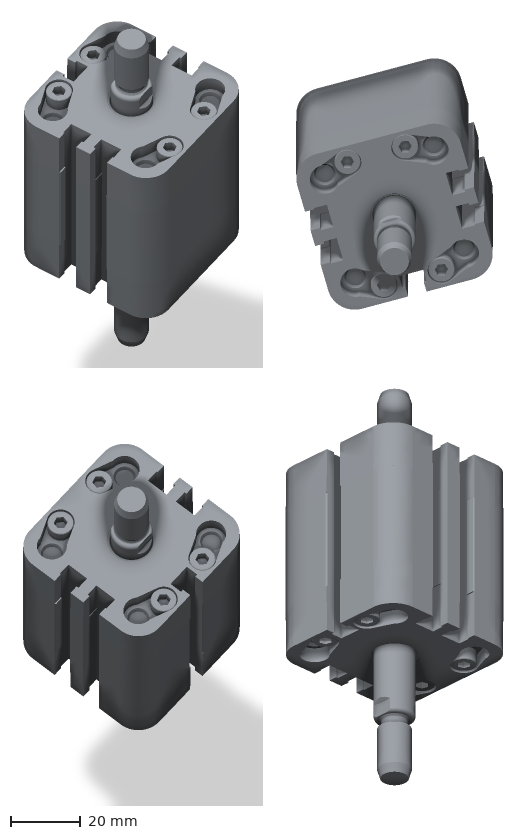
import cadquery as cq
import math


TOTAL_LENGTH = 125.0
BODY_BOTTOM = 40.5
BODY_LENGTH = 59.0
CAP_LENGTH = 14.2
BODY_TOP = BODY_BOTTOM + BODY_LENGTH
BARREL_BOTTOM = BODY_BOTTOM + CAP_LENGTH
BARREL_TOP = BODY_TOP - CAP_LENGTH

BODY_WIDTH = 49.0
CORNER_RADIUS = 8.0
CAP_INSET = 0.1
CAP_DRAFT = math.degrees(math.atan(CAP_INSET / CAP_LENGTH))

HALF_WIDTH = BODY_WIDTH / 2
SLOT_FLOOR = 17.8
LIP_INNER = 21.6
SINGLE_OPENING = 5.5
SINGLE_WIDTH = 7.2
RIB_HEAD_HALF = 4.9 / 2
CAP_RIB_STEM_HALF = 1.8
BARREL_RIB_STEM_HALF = 2.0
PAIR_OUTER = 8.8
CAP_PAIR_OPENING = 8.4
BARREL_PAIR_OPENING = 8.0
LIP_CHAMFER = 0.4

ROD_BORE = 12.5
MOUTH_OUTER = 14.0
MOUTH_INNER = 13.8
MOUTH_DEPTH = 0.1
BORE_CHAMFER = 0.2
SEAT_POCKET_DIAMETER = 8.6
SCREW_POCKET_DIAMETER = 8.0
POCKET_WEB = 8.0
POCKET_DEPTH = 4.5
MOUNT_OFFSET = 16.2
SEAT_OUTER = 6.4
SEAT_INNER = 5.2
SEAT_DEPTH = 1.0
SCREW_X = 19.4
SCREW_Y = 8.6
HEAD_DIAMETER = 7.5
HEAD_RIM = 0.19
HEAD_HEIGHT = 4.0
SOCKET_CORNERS = 4.0
SOCKET_DEPTH = 3.1
SOCKET_TURN = 45.0

ROD_DIAMETER = 12.0
THREAD_DIAMETER = 10.0
TIP_DIAMETER = 8.2
TIP_LENGTH = 2.8
THREAD_LENGTH = 16.0
NECK_DIAMETER = 7.9
NECK_TAPER = 0.6
NECK_FLARE = 0.5
SHOULDER = 19.0
SHOULDER_RADIUS = 1.0
FLAT_WIDTH = 10.0
FLAT_END = 23.1
FLAT_RUNOUT = (ROD_DIAMETER - FLAT_WIDTH) / 2


def block(x_min, x_max, y_min, y_max):
    """A box over the whole body height, to cut slots with."""
    return (
        cq.Workplane("XY")
        .box(x_max - x_min, y_max - y_min, BODY_LENGTH, centered=False)
        .translate((x_min, y_min, BODY_BOTTOM))
    )


def lip_bevel(corner_x, corner_y):
    """A diamond prism that bevels a lip corner lying on the outer profile."""
    side = LIP_CHAMFER * math.sqrt(2)
    return (
        cq.Workplane("XY", origin=(corner_x, corner_y, BODY_BOTTOM))
        .transformed(rotate=(0, 0, 45))
        .rect(side, side)
        .extrude(BODY_LENGTH)
    )


def cut_slots(body, pair_opening, stem_half):
    """Cut the single slot on -X and the paired slots on +Y and -Y."""
    body = body.cut(block(-HALF_WIDTH, -SLOT_FLOOR, -SINGLE_OPENING / 2, SINGLE_OPENING / 2))
    body = body.cut(block(-LIP_INNER, -SLOT_FLOOR, -SINGLE_WIDTH / 2, SINGLE_WIDTH / 2))

    mouth = block(RIB_HEAD_HALF, pair_opening, SLOT_FLOOR, HALF_WIDTH)
    slot = mouth.union(block(stem_half, PAIR_OUTER, SLOT_FLOOR, LIP_INNER))
    slots = slot.union(slot.mirror("YZ"))
    return body.cut(slots).cut(slots.mirror("XZ"))


def make_barrel():
    barrel = (
        cq.Workplane("XY", origin=(0, 0, BARREL_BOTTOM))
        .rect(BODY_WIDTH, BODY_WIDTH)
        .extrude(BARREL_TOP - BARREL_BOTTOM)
        .edges("|Z")
        .fillet(CORNER_RADIUS)
    )
    barrel = cut_slots(barrel, BARREL_PAIR_OPENING, BARREL_RIB_STEM_HALF)
    for side in (-1, 1):
        barrel = barrel.cut(lip_bevel(-HALF_WIDTH, side * SINGLE_OPENING / 2))
        for end in (-1, 1):
            barrel = barrel.cut(lip_bevel(side * BARREL_PAIR_OPENING, end * HALF_WIDTH))
    rod_hole = cq.Workplane("XY").circle(ROD_DIAMETER / 2).extrude(TOTAL_LENGTH)
    return barrel.cut(rod_hole)


def cone(center_x, center_y, top_z, top_diameter, bottom_diameter, depth):
    """A countersink that narrows downward from top_z."""
    return cq.Workplane(
        cq.Solid.makeCone(
            top_diameter / 2,
            bottom_diameter / 2,
            depth,
            pnt=cq.Vector(center_x, center_y, top_z),
            dir=cq.Vector(0, 0, -1),
        )
    )


def make_pocket():
    """The pocket in the +X +Y quadrant that joins a mounting seat and a screw."""
    floor_z = BODY_TOP - POCKET_DEPTH
    span_x = MOUNT_OFFSET - SCREW_X
    span_y = MOUNT_OFFSET - SCREW_Y
    floor = cq.Workplane("XY", origin=(0, 0, floor_z))
    seat_end = (
        floor.center(MOUNT_OFFSET, MOUNT_OFFSET)
        .circle(SEAT_POCKET_DIAMETER / 2)
        .extrude(POCKET_DEPTH)
    )
    screw_end = (
        floor.center(SCREW_X, SCREW_Y)
        .circle(SCREW_POCKET_DIAMETER / 2)
        .extrude(POCKET_DEPTH)
    )
    web = (
        floor.center((MOUNT_OFFSET + SCREW_X) / 2, (MOUNT_OFFSET + SCREW_Y) / 2)
        .transformed(rotate=(0, 0, math.degrees(math.atan2(span_y, span_x))))
        .rect(math.hypot(span_x, span_y), POCKET_WEB)
        .extrude(POCKET_DEPTH)
    )
    pocket = seat_end.union(screw_end).union(web)
    return pocket.union(cone(MOUNT_OFFSET, MOUNT_OFFSET, floor_z, SEAT_OUTER, SEAT_INNER, SEAT_DEPTH))


def make_screw_head(center_x, center_y):
    """A socket head standing on the pocket floor, one piece with the cap."""
    return (
        cq.Workplane("XY", origin=(center_x, center_y, BODY_TOP - POCKET_DEPTH))
        .circle(HEAD_DIAMETER / 2)
        .extrude(HEAD_HEIGHT)
        .faces(">Z")
        .chamfer(HEAD_RIM)
        .faces(">Z")
        .workplane()
        .transformed(rotate=(0, 0, SOCKET_TURN))
        .polygon(6, SOCKET_CORNERS)
        .cutBlind(-SOCKET_DEPTH)
    )


def make_top_cap():
    cap = (
        cq.Workplane("XY", origin=(0, 0, BARREL_TOP))
        .sketch()
        .rect(BODY_WIDTH, BODY_WIDTH)
        .vertices()
        .fillet(CORNER_RADIUS)
        .finalize()
        .extrude(CAP_LENGTH, taper=CAP_DRAFT)
    )
    cap = cut_slots(cap, CAP_PAIR_OPENING, CAP_RIB_STEM_HALF)

    cap = cap.cut(cq.Workplane("XY").circle(ROD_BORE / 2).extrude(TOTAL_LENGTH))
    cap = cap.cut(cone(0, 0, BODY_TOP, MOUTH_OUTER, MOUTH_INNER, MOUTH_DEPTH))
    shelf_z = BODY_TOP - MOUTH_DEPTH
    cap = cap.cut(cone(0, 0, shelf_z, ROD_BORE + 2 * BORE_CHAMFER, ROD_BORE, BORE_CHAMFER))

    pocket = make_pocket()
    pockets = pocket.union(pocket.mirror("YZ"))
    cap = cap.cut(pockets).cut(pockets.mirror("XZ"))
    for side_x in (-1, 1):
        for side_y in (-1, 1):
            cap = cap.union(make_screw_head(side_x * SCREW_X, side_y * SCREW_Y))
    return cap


def make_rod_half():
    """The lower half of the rod, from its end at Z = 0 to mid-length."""
    rod_radius = ROD_DIAMETER / 2
    thread_radius = THREAD_DIAMETER / 2
    neck_radius = NECK_DIAMETER / 2
    arc_rise = SHOULDER_RADIUS * (1 - math.sqrt(0.5))
    half = (
        cq.Workplane("XZ")
        .moveTo(0, 0)
        .lineTo(TIP_DIAMETER / 2, 0)
        .lineTo(thread_radius, TIP_LENGTH)
        .lineTo(thread_radius, THREAD_LENGTH)
        .lineTo(neck_radius, THREAD_LENGTH + NECK_TAPER)
        .lineTo(neck_radius, SHOULDER - NECK_FLARE)
        .lineTo(neck_radius + NECK_FLARE, SHOULDER)
        .lineTo(rod_radius - SHOULDER_RADIUS, SHOULDER)
        .threePointArc(
            (rod_radius - arc_rise, SHOULDER + arc_rise),
            (rod_radius, SHOULDER + SHOULDER_RADIUS),
        )
        .lineTo(rod_radius, TOTAL_LENGTH / 2)
        .lineTo(0, TOTAL_LENGTH / 2)
        .close()
        .revolve(360, (0, 0, 0), (0, 1, 0))
    )
    flat = (
        cq.Workplane("XZ")
        .moveTo(FLAT_WIDTH / 2, SHOULDER)
        .lineTo(rod_radius, SHOULDER)
        .lineTo(rod_radius, FLAT_END + FLAT_RUNOUT)
        .lineTo(FLAT_WIDTH / 2, FLAT_END)
        .close()
        .extrude(rod_radius, both=True)
    )
    return half.cut(flat).cut(flat.mirror("YZ"))


def make_rod():
    lower = make_rod_half()
    upper = lower.mirror("XY", (0, 0, TOTAL_LENGTH / 2))
    return lower.union(upper)


barrel = make_barrel()
top_cap = make_top_cap()
bottom_cap = top_cap.mirror("XY", (0, 0, (BODY_BOTTOM + BODY_TOP) / 2))
rod = make_rod()

bodies = [body.solids().val() for body in (barrel, top_cap, bottom_cap, rod)]
result = cq.Compound.makeCompound(bodies)